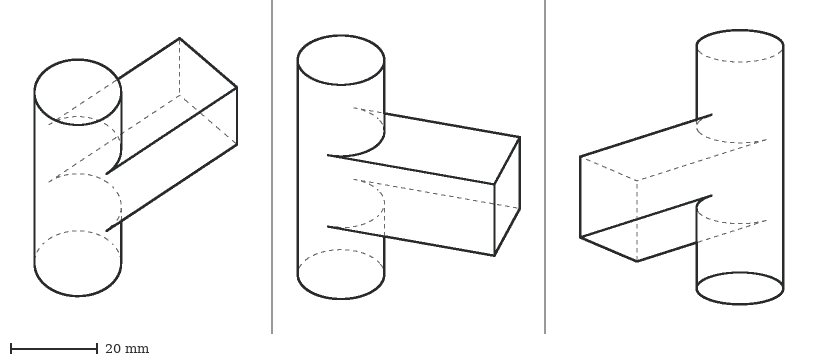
import cadquery as cq

bar_height = 60.0
bar_diameter = bar_height / 3
arm_reach = 2 * bar_diameter

bar = cq.Workplane("XY").cylinder(bar_height, bar_diameter / 2)

arm = cq.Workplane("XY").box(
    bar_diameter, arm_reach, bar_diameter, centered=(True, False, True)
)

result = bar.union(arm)